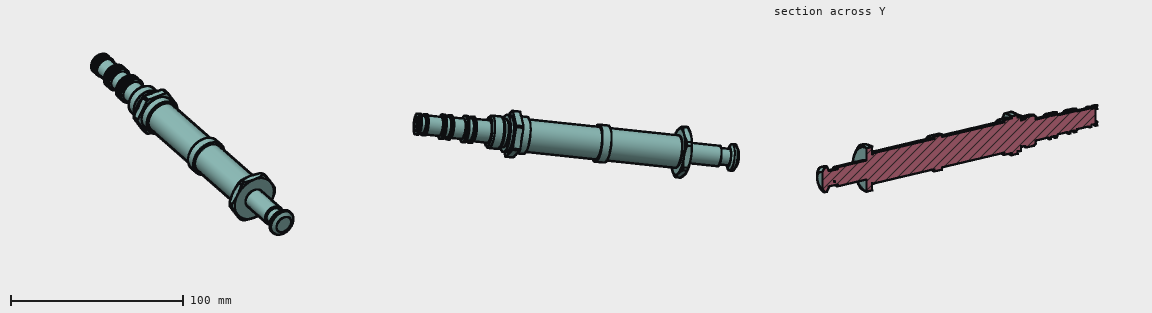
import cadquery as cq
import math

LENGTH = 194.8

NOZZLE_R = 5.6
END_FLANGE_R = 6.2
END_FLANGE_W = 1.4
END_GROOVE_R = 5.0
END_GROOVE_W = 2.7
BORE_R = 4.0
BORE_DEPTH = 1.4

SEAT_CONE_W = 0.8
RIDGE_W = 1.2
SEAT_GROOVE_W = 3.0
SMALL_SEAT_X = 14.2
SMALL_SEAT_R = 7.2
SMALL_STEM_R = 6.0
LARGE_SEAT_X = 27.8
LARGE_SEAT_R = 7.8
LARGE_STEM_R = 6.6

SHOULDER_X = 43.6
SHOULDER_W = 7.8
SHOULDER_CHAMFER = 1.2
NECK_R = 8.4
FLANGE_X = 54.0

END_CHAMFER = 0.5

BODY_R = 9.5
COLLAR_R = 11.0
NUT_COLLAR_END = 66.0
MID_COLLAR_X = 109.8
MID_COLLAR_W = 5.5

FRONT_NUT_X = 56.3
FRONT_NUT_W = 4.5
FRONT_NUT_FLATS = 24.1
FRONT_NUT_CORNER_R = 13.6
REAR_NUT_X = 159.1
REAR_NUT_W = 4.3
REAR_NUT_FLATS = 27.0
REAR_NUT_CORNER_R = 15.0
REAR_NUT_CHAMFER_W = 0.8

ROD_R = 6.0
ROD_END = 183.8
ROD_NECK_R = 4.9
BUTTON_X = 189.9
BUTTON_R = 7.8
BUTTON_UNDERSIDE_R = 5.5
BUTTON_UNDERSIDE_W = 1.4
BUTTON_RIM_W = 1.8
BUTTON_FACE_R = 5.0


def seal_seat(x, stem_before, ridge_r, stem_after):
    """Profile points (x, radius) of one seal seat that starts at x."""
    first_ridge = x + SEAT_CONE_W
    groove = first_ridge + RIDGE_W
    second_ridge = groove + SEAT_GROOVE_W
    cone = second_ridge + RIDGE_W
    return [
        (x, stem_before),
        (first_ridge, ridge_r),
        (groove, ridge_r),
        (groove, stem_after),
        (second_ridge, stem_after),
        (second_ridge, ridge_r),
        (cone, ridge_r),
        (cone + SEAT_CONE_W, stem_after),
    ]


def steps(*sections):
    """Profile points of plain cylinders, each given as (start x, end x, radius)."""
    return [point for start, end, radius in sections for point in ((start, radius), (end, radius))]


def chamfered_end(x, radius):
    """Profile points of the chamfer on a cylinder that ends at x."""
    return [(x - END_CHAMFER, radius), (x, radius - END_CHAMFER)]


def chamfered_shoulder():
    """Profile points of the shoulder between the large stem and the neck."""
    end = SHOULDER_X + SHOULDER_W
    edge_r = BODY_R - SHOULDER_CHAMFER
    return [
        (SHOULDER_X, LARGE_STEM_R),
        (SHOULDER_X, edge_r),
        (SHOULDER_X + SHOULDER_CHAMFER, BODY_R),
        (end - SHOULDER_CHAMFER, BODY_R),
        (end, edge_r),
    ]


def button():
    """Profile points of the flared button at the end of the rod."""
    rim_start = BUTTON_X + BUTTON_UNDERSIDE_W
    return [
        (BUTTON_X, BUTTON_UNDERSIDE_R),
        (rim_start, BUTTON_R),
        (rim_start + BUTTON_RIM_W, BUTTON_R),
        (LENGTH, BUTTON_FACE_R),
    ]


def turned_shaft():
    """Everything round, revolved about the X axis."""
    groove_end = END_FLANGE_W + END_GROOVE_W
    nozzle_start = groove_end + END_FLANGE_W
    mid_collar_end = MID_COLLAR_X + MID_COLLAR_W
    profile = [(0, 0)]
    profile += steps(
        (0, END_FLANGE_W, END_FLANGE_R),
        (END_FLANGE_W, groove_end, END_GROOVE_R),
        (groove_end, nozzle_start, END_FLANGE_R),
    )
    profile += [(nozzle_start, NOZZLE_R)]
    profile += seal_seat(SMALL_SEAT_X, NOZZLE_R, SMALL_SEAT_R, SMALL_STEM_R)
    profile += seal_seat(LARGE_SEAT_X, SMALL_STEM_R, LARGE_SEAT_R, LARGE_STEM_R)
    profile += chamfered_shoulder()
    profile += chamfered_end(FLANGE_X, NECK_R)
    profile += [(FLANGE_X, COLLAR_R)]
    profile += chamfered_end(FRONT_NUT_X, COLLAR_R)
    profile += steps(
        (FRONT_NUT_X, NUT_COLLAR_END, COLLAR_R),
        (NUT_COLLAR_END, MID_COLLAR_X, BODY_R),
        (MID_COLLAR_X, mid_collar_end, COLLAR_R),
    )
    profile += [(mid_collar_end, BODY_R)]
    profile += chamfered_end(REAR_NUT_X, BODY_R)
    profile += steps(
        (REAR_NUT_X, ROD_END, ROD_R),
        (ROD_END, BUTTON_X, ROD_NECK_R),
    )
    profile += button()
    profile += [(LENGTH, 0)]
    return cq.Workplane("XY").polyline(profile).close().revolve(360, (0, 0, 0), (1, 0, 0))


def hexagon_plate(x, width, across_flats):
    """Hexagonal plate with flats facing +Z and -Z and corners facing +Y and -Y."""
    corner = across_flats / 2 / math.cos(math.pi / 6)
    angles = [i * math.pi / 3 for i in range(6)]
    corners = [(corner * math.cos(a), corner * math.sin(a)) for a in angles]
    return cq.Workplane("YZ", origin=(x, 0, 0)).polyline(corners).close().extrude(width)


def round_blank(x, width, radius):
    """Disc that trims the corners of a hexagonal nut."""
    return cq.Workplane("YZ", origin=(x, 0, 0)).circle(radius).extrude(width)


def front_nut():
    hexagon = hexagon_plate(FRONT_NUT_X, FRONT_NUT_W, FRONT_NUT_FLATS)
    return hexagon.intersect(round_blank(FRONT_NUT_X, FRONT_NUT_W, FRONT_NUT_CORNER_R))


def rear_nut():
    """Nut whose corners are chamfered on both faces, down to the circle that touches the flats."""
    hexagon = hexagon_plate(REAR_NUT_X, REAR_NUT_W, REAR_NUT_FLATS)
    blank = round_blank(REAR_NUT_X, REAR_NUT_W, REAR_NUT_CORNER_R)
    rim_cut = REAR_NUT_CORNER_R - REAR_NUT_FLATS / 2
    for face in ("<X", ">X"):
        blank = blank.faces(face).chamfer(REAR_NUT_CHAMFER_W, rim_cut)
    return hexagon.intersect(blank)


bore = cq.Workplane("YZ").circle(BORE_R).extrude(BORE_DEPTH)
result = turned_shaft().union(front_nut()).union(rear_nut()).cut(bore)